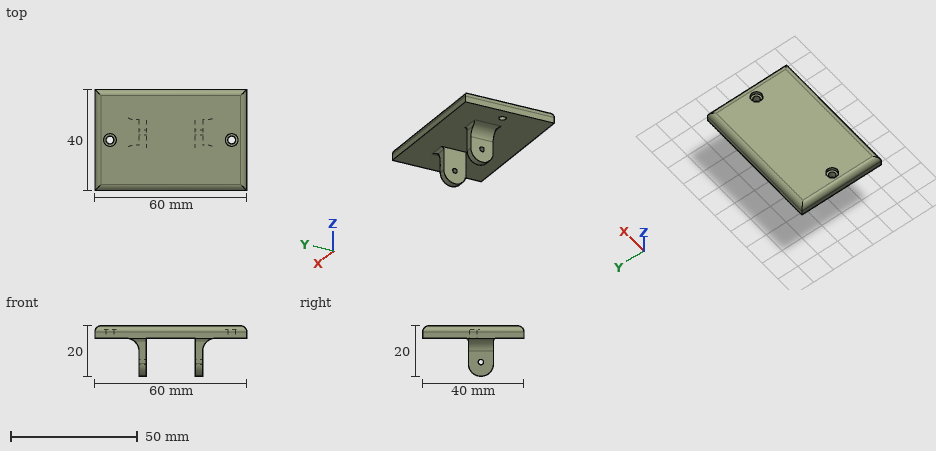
import cadquery as cq

plate_length = 60.0
plate_width = 40.0
plate_thickness = 5.0
rim_radius = 2.5

screw_spacing = 48.0
screw_diameter = 3.0
counterbore_diameter = 5.0
counterbore_depth = 1.5

lug_gap = 19.2
lug_thickness = 3.0
lug_width = 10.0
lug_drop = 15.0
lug_center_y = 3.0
outer_root_radius = 5.0
side_root_radius = 1.0
pin_diameter = 2.0
pin_depth_below_plate = 9.35

root_overlap = 1.0


def make_plate():
    """Rectangular plate with a rounded top rim and two screw holes."""
    plate = cq.Workplane("XY").box(
        plate_length, plate_width, plate_thickness, centered=(True, True, False)
    )
    plate = plate.faces(">Z").edges().fillet(rim_radius)
    return (
        plate.faces(">Z")
        .workplane()
        .rarray(screw_spacing, 1, 2, 1)
        .cboreHole(screw_diameter, counterbore_diameter, counterbore_depth)
    )


def make_thickness_profile():
    """Lug seen along Y: flat inner face, outer face flaring into the plate."""
    inner_x = lug_gap / 2
    outer_x = inner_x + lug_thickness
    flare_x = outer_x + outer_root_radius
    flared_width = lug_width + 2 * side_root_radius
    return (
        cq.Workplane("XZ", origin=(0, lug_center_y + flared_width / 2, 0))
        .moveTo(inner_x, root_overlap)
        .lineTo(inner_x, -lug_drop)
        .lineTo(outer_x, -lug_drop)
        .lineTo(outer_x, -outer_root_radius)
        .radiusArc((flare_x, 0), outer_root_radius)
        .lineTo(flare_x, root_overlap)
        .close()
        .extrude(flared_width)
    )


def make_width_profile():
    """Lug seen along X: round lower end, both sides flaring into the plate."""
    half_width = lug_width / 2
    half_flare = half_width + side_root_radius
    end_center_z = half_width - lug_drop
    return (
        cq.Workplane("YZ", origin=(0, lug_center_y, 0))
        .moveTo(-half_flare, root_overlap)
        .lineTo(-half_flare, 0)
        .radiusArc((-half_width, -side_root_radius), side_root_radius)
        .lineTo(-half_width, end_center_z)
        .threePointArc((0, -lug_drop), (half_width, end_center_z))
        .lineTo(half_width, -side_root_radius)
        .radiusArc((half_flare, 0), side_root_radius)
        .lineTo(half_flare, root_overlap)
        .close()
        .extrude(plate_length / 2)
    )


def make_lug():
    """Lug on the +X side, with a pin hole through its thickness."""
    pin = (
        cq.Workplane("YZ", origin=(0, lug_center_y, -pin_depth_below_plate))
        .circle(pin_diameter / 2)
        .extrude(plate_length / 2)
    )
    return make_thickness_profile().intersect(make_width_profile()).cut(pin)


lug = make_lug()
result = make_plate().union(lug).union(lug.mirror("YZ"))